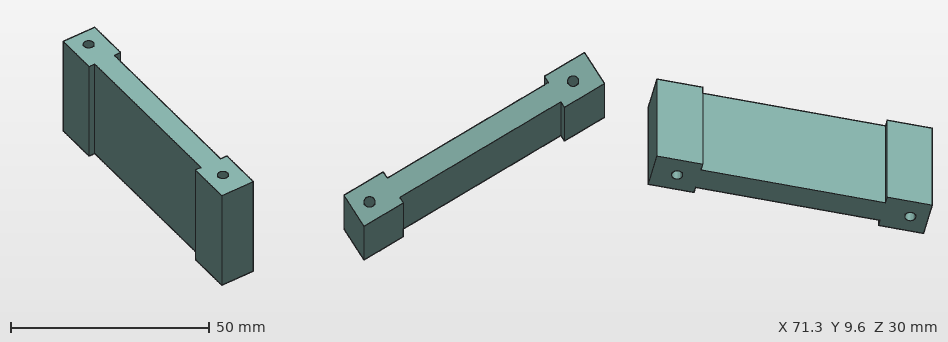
import cadquery as cq

length = 71.3
depth = 9.6
height = 30.0

left_block_length = 11.7
right_block_length = 11.9
front_recess = 1.7
back_recess = 1.9

hole_diameter = 2.8
left_hole_x = 4.55
hole_spacing = 60.3
hole_y = 4.7

web_length = length - left_block_length - right_block_length


def recess(y_start, recess_depth):
    """Full-height cutter for one face of the web."""
    return cq.Workplane("XY").box(web_length, recess_depth, height, centered=False).translate(
        (left_block_length, y_start, 0)
    )


body = cq.Workplane("XY").box(length, depth, height, centered=False)
body = body.cut(recess(0, front_recess))
body = body.cut(recess(depth - back_recess, back_recess))

hole_centers = [(left_hole_x, hole_y), (left_hole_x + hole_spacing, hole_y)]
holes = cq.Workplane("XY").pushPoints(hole_centers).circle(hole_diameter / 2).extrude(height)

result = body.cut(holes)